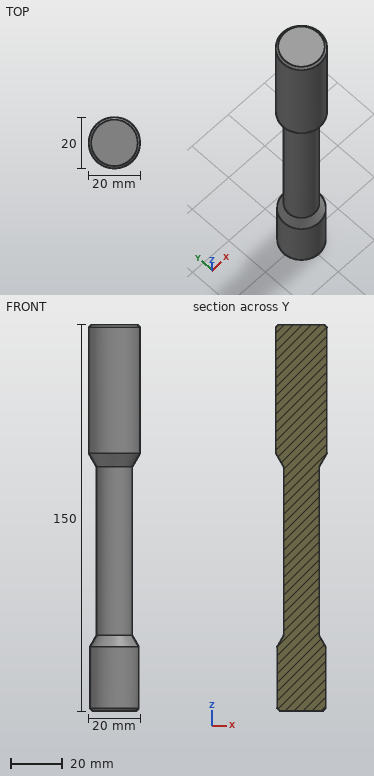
import cadquery as cq
import math

total_length = 150.0
head_radius = 10.0
head_length = 50.0
neck_radius = 7.0
foot_radius = 9.5
foot_length = 25.0
end_chamfer = 1.0
taper_angle = math.radians(30.0)

foot_taper_top = foot_length + (foot_radius - neck_radius) / math.tan(taper_angle)
head_bottom = total_length - head_length
head_taper_bottom = head_bottom - (head_radius - neck_radius) / math.tan(taper_angle)


def turned_pin():
    """Revolve the half profile (radius, height) about the Z axis."""
    profile = (
        cq.Workplane("XZ")
        .moveTo(0, 0)
        .lineTo(foot_radius - end_chamfer, 0)
        .lineTo(foot_radius, end_chamfer)
        .lineTo(foot_radius, foot_length)
        .lineTo(neck_radius, foot_taper_top)
        .lineTo(neck_radius, head_taper_bottom)
        .lineTo(head_radius, head_bottom)
        .lineTo(head_radius, total_length - end_chamfer)
        .lineTo(head_radius - end_chamfer, total_length)
        .lineTo(0, total_length)
        .close()
    )
    return profile.revolve(360, (0, 0, 0), (0, 1, 0))


result = turned_pin()